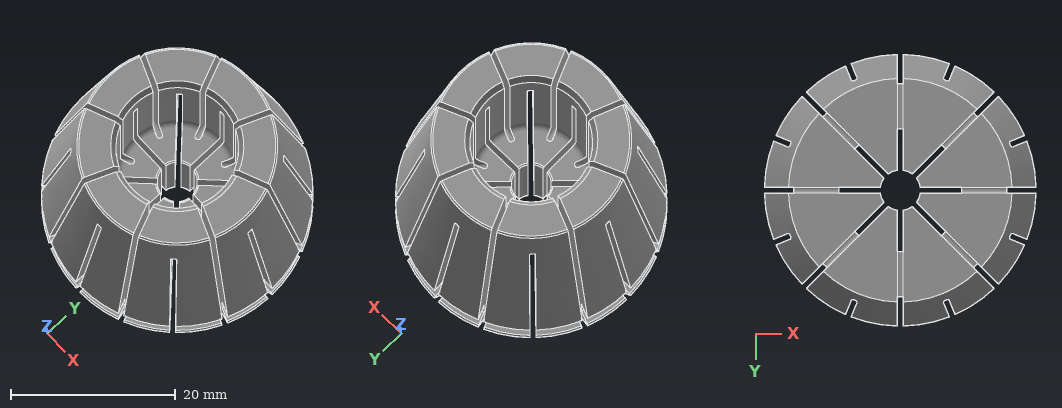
import cadquery as cq
import math

length = 40.0
max_radius = 16.5

nose_half_angle = 30.0
taper_half_angle = 8.0
nose_height = 5.1
flange_top = 5.5
flange_bevel = 0.2
groove_radius = 14.6
taper_start = 9.1
rim_chamfer = 0.25
nose_radius = max_radius - nose_height * math.tan(math.radians(nose_half_angle))
taper_slope = math.tan(math.radians(taper_half_angle))
taper_end = length - rim_chamfer
taper_end_radius = max_radius - (taper_end - taper_start) * taper_slope

slot_count = 8
slot_pitch = 360.0 / slot_count
slot_width = 0.7
slot_corner_fillet = 0.3
nose_slot_top = 34.5
rear_slot_inner_radius = 5.75
rear_slot_exit_height = 1.5
rear_slot_exit_radius = nose_radius + rear_slot_exit_height * math.tan(math.radians(nose_half_angle))
rear_floor_angle = 60.0
rear_floor_slope = math.tan(math.radians(rear_floor_angle))
clearance = 0.8

grip_radius = 2.45
grip_chamfer = 0.2
relief_radius = 7.45
relief_floor = rear_slot_exit_height + (rear_slot_exit_radius - rear_slot_inner_radius) * rear_floor_slope
relief_fillet = 0.75
mouth_half_angle = 30.0
mouth_radius = 8.1
mouth_depth = (mouth_radius - relief_radius) / math.tan(math.radians(mouth_half_angle))


def make_body():
    """Revolve the outer profile into a solid with a bevelled flange and a nut groove."""
    profile = [
        (0, 0),
        (nose_radius, 0),
        (max_radius, nose_height),
        (max_radius - flange_bevel, flange_top),
        (groove_radius, flange_top),
        (groove_radius, taper_start),
        (max_radius, taper_start),
        (taper_end_radius, taper_end),
        (taper_end_radius - rim_chamfer, length),
        (0, length),
    ]
    return cq.Workplane("XZ").polyline(profile).close().revolve(360, (0, 0, 0), (0, 1, 0))


def make_bore():
    """Revolve the grip bore, the wider relief bore with a filleted floor, and the mouth chamfer."""
    fillet_mid = relief_fillet * (1 - math.sqrt(0.5))
    return (
        cq.Workplane("XZ")
        .moveTo(0, 0)
        .lineTo(grip_radius, 0)
        .lineTo(grip_radius, relief_floor - grip_chamfer)
        .lineTo(grip_radius + grip_chamfer, relief_floor)
        .lineTo(relief_radius - relief_fillet, relief_floor)
        .threePointArc(
            (relief_radius - fillet_mid, relief_floor + fillet_mid),
            (relief_radius, relief_floor + relief_fillet),
        )
        .lineTo(relief_radius, length - mouth_depth)
        .lineTo(mouth_radius, length)
        .lineTo(0, length)
        .close()
        .revolve(360, (0, 0, 0), (0, 1, 0))
    )


def nose_slot(angle):
    """A radial slot from the nose up to a flat roof with rounded corners."""
    return (
        cq.Workplane("XY")
        .box(max_radius + clearance, slot_width, nose_slot_top + clearance, centered=(False, True, False))
        .translate((0, 0, -clearance))
        .edges("|X and >Z")
        .fillet(slot_corner_fillet)
        .rotate((0, 0, 0), (0, 0, 1), angle)
    )


def rear_slot(angle):
    """A radial slot from the rear face; its round-cornered floor falls from the relief floor to the nose."""
    outer_radius = max_radius + clearance
    outer_floor = rear_slot_exit_height - (outer_radius - rear_slot_exit_radius) * rear_floor_slope
    side = [
        (rear_slot_inner_radius, relief_floor),
        (outer_radius, outer_floor),
        (outer_radius, length + clearance),
        (rear_slot_inner_radius, length + clearance),
    ]
    floor_direction = cq.Vector(1, 0, -rear_floor_slope)
    return (
        cq.Workplane("XZ")
        .polyline(side)
        .close()
        .extrude(slot_width / 2, both=True)
        .edges(cq.selectors.ParallelDirSelector(floor_direction))
        .fillet(slot_corner_fillet)
        .rotate((0, 0, 0), (0, 0, 1), angle)
    )


result = make_body().cut(make_bore())
for index in range(slot_count):
    slot_angle = index * slot_pitch
    result = result.cut(nose_slot(slot_angle))
    result = result.cut(rear_slot(slot_angle + slot_pitch / 2))